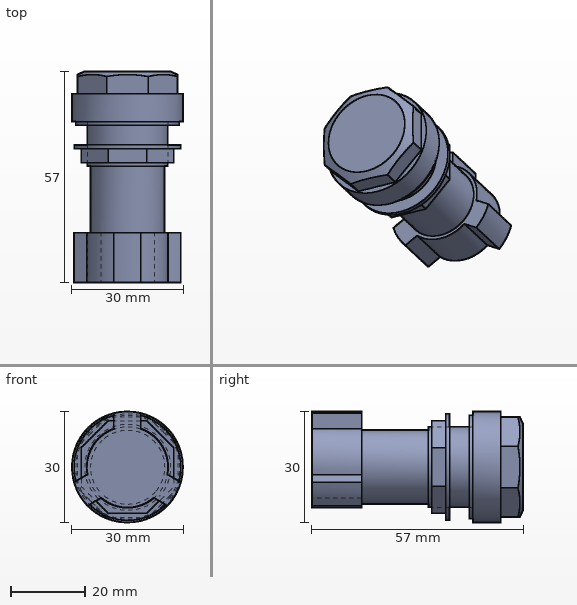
import cadquery as cq
import math

total_length = 57.0

knob_length = 13.5
knob_core_radius = 11.0
lobe_radius = 15.0
lobe_width = 7.3
lobe_count = 3

tube_radius = 10.0
barrel_radius = 10.9
barrel_front = 31.4
nut_front = 32.3
nut_across_flats = 25.0
washer_front = 36.05
washer_back = 37.15
washer_radius = 14.4

gasket_front = 42.4
gasket_radius = 14.0
collar_front = 43.4
collar_radius = 15.0
head_front = 51.0
head_across_flats = 27.0
head_top_radius = 11.6
head_chamfer_angle = 25.0

octagon_sides = 8


def disc(radius, front, back):
    """Solid cylinder on the Y axis, from Y = front to Y = back."""
    plane = cq.Workplane("XZ", origin=(0, front, 0))
    return plane.circle(radius).extrude(front - back)


def ring(outer_radius, front, back):
    """Ring that fits closely around the barrel."""
    return disc(outer_radius, front, back).cut(disc(barrel_radius, front, back))


def octagon(across_flats, front, back):
    """Octagonal prism on the Y axis, with flats square to X and Z."""
    corner_diameter = across_flats / math.cos(math.pi / octagon_sides)
    half_step = 180 / octagon_sides
    prism = cq.Workplane("XY").polygon(octagon_sides, corner_diameter).extrude(back - front)
    prism = prism.rotate((0, 0, 0), (0, 0, 1), half_step)
    return prism.rotate((0, 0, 0), (1, 0, 0), -90).translate((0, front, 0))


def make_knob():
    """Round core with equally spaced lobes, the first one pointing up."""
    lobe_strip = cq.Workplane("XY").box(lobe_width, knob_length, lobe_radius, centered=(True, False, False))
    lobe = lobe_strip.intersect(disc(lobe_radius, 0, knob_length))
    knob = disc(knob_core_radius, 0, knob_length)
    for index in range(lobe_count):
        angle = index * 360 / lobe_count
        knob = knob.union(lobe.rotate((0, 0, 0), (0, 1, 0), angle))
    return knob


def make_nut():
    """Octagonal nut around the barrel."""
    blank = octagon(nut_across_flats, nut_front, washer_front)
    return blank.cut(disc(barrel_radius, nut_front, washer_front))


def make_head():
    """Octagonal head whose back corners are trimmed by a shallow cone."""
    head_length = total_length - head_front
    cone_base_radius = head_top_radius + head_length / math.tan(math.radians(head_chamfer_angle))
    trimming_cone = (
        cq.Workplane("XY")
        .moveTo(0, head_front)
        .lineTo(cone_base_radius, head_front)
        .lineTo(head_top_radius, total_length)
        .lineTo(0, total_length)
        .close()
        .revolve(360, (0, 0, 0), (0, 1, 0))
    )
    return octagon(head_across_flats, head_front, total_length).intersect(trimming_cone)


knob = make_knob()
tube = disc(tube_radius, knob_length, barrel_front)
barrel = disc(barrel_radius, barrel_front, collar_front)
nut = make_nut()
washer = ring(washer_radius, washer_front, washer_back)
gasket = ring(gasket_radius, gasket_front, collar_front)
collar = disc(collar_radius, collar_front, head_front)
head = make_head()

bodies = [knob, tube, barrel, nut, washer, gasket, collar, head]
result = cq.Compound.makeCompound([body.val() for body in bodies])